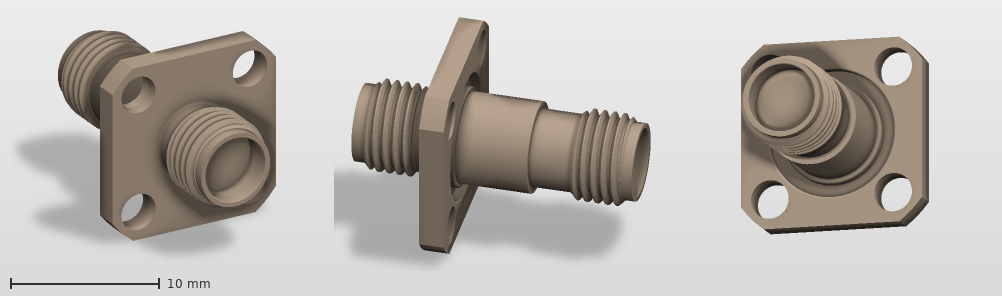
import cadquery as cq
import math


total_length = 19.43
barrel_start = 7.15
flange_start = 12.12
flange_thickness = 1.7
flange_end = flange_start + flange_thickness

tube_radius = 2.675
barrel_radius = 3.15
collar_fillet = 0.23

flange_width = 12.7
flange_corner_radius = 7.93
hole_diameter = 2.64
hole_spacing = 8.64

groove_inner_radius = 3.47
groove_outer_radius = 4.38
groove_depth = 0.74
groove_lip_fillet = 0.13

bore_radius = 2.31
bore_depth = 2.0
bore_chamfer = 0.05

thread_offset = 0.77
thread_length = 3.59
thread_pitch = 25.4 / 36
thread_crest_radius = 3.15
thread_root_radius = 2.735
thread_crest_flat = thread_pitch / 8
thread_first_crest = 1.447
flank_angle = math.radians(30)


def cylinder(start, end, radius):
    """Solid cylinder on the X axis between two positions."""
    return cq.Workplane("YZ").workplane(offset=start).circle(radius).extrude(end - start)


def make_flange():
    """Square plate with rounded-off corners and mounting holes through it."""
    plate = cq.Workplane("YZ").workplane(offset=flange_start).rect(flange_width, flange_width)
    plate = plate.extrude(flange_thickness)
    plate = plate.intersect(cylinder(flange_start, flange_end, flange_corner_radius))
    holes = (
        cq.Workplane("YZ")
        .workplane(offset=flange_start)
        .rect(hole_spacing, hole_spacing, forConstruction=True)
        .vertices()
        .circle(hole_diameter / 2)
        .extrude(flange_thickness)
    )
    return plate.cut(holes)


def arc_middle_offset(fillet):
    """Distance from each of the two walls joined by a quarter-round fillet to its middle point."""
    return fillet * (1 - math.sqrt(0.5))


def make_collar():
    """Concave fillet where the right tube leaves the flange."""
    arc_offset = arc_middle_offset(collar_fillet)
    return (
        cq.Workplane("XY")
        .moveTo(flange_end, 0)
        .lineTo(flange_end, tube_radius + collar_fillet)
        .threePointArc(
            (flange_end + arc_offset, tube_radius + arc_offset),
            (flange_end + collar_fillet, tube_radius),
        )
        .lineTo(flange_end + collar_fillet, 0)
        .close()
        .revolve(360, (0, 0, 0), (1, 0, 0))
    )


def make_ring_groove():
    """Ring-shaped cutter whose mouth flares out to leave rounded lips."""
    floor = flange_start + groove_depth
    wall_start = flange_start + groove_lip_fillet
    arc_offset = arc_middle_offset(groove_lip_fillet)
    return (
        cq.Workplane("XY")
        .moveTo(flange_start, groove_inner_radius - groove_lip_fillet)
        .threePointArc(
            (flange_start + arc_offset, groove_inner_radius - arc_offset),
            (wall_start, groove_inner_radius),
        )
        .lineTo(floor, groove_inner_radius)
        .lineTo(floor, groove_outer_radius)
        .lineTo(wall_start, groove_outer_radius)
        .threePointArc(
            (flange_start + arc_offset, groove_outer_radius + arc_offset),
            (flange_start, groove_outer_radius + groove_lip_fillet),
        )
        .close()
        .revolve(360, (0, 0, 0), (1, 0, 0))
    )


def make_thread():
    """Threaded sleeve of the left end: a helical ridge on a core, with 45 degree chamfered ends."""
    root_overlap = 0.02
    turns_before = 2
    turns = 8
    ridge_start = thread_first_crest - turns_before * thread_pitch
    ridge_base_radius = thread_root_radius - root_overlap
    half_crest = thread_crest_flat / 2
    half_base = half_crest + (thread_crest_radius - ridge_base_radius) * math.tan(flank_angle)

    ridge_profile = (
        cq.Workplane("XZ")
        .moveTo(ridge_base_radius, -half_base)
        .lineTo(thread_crest_radius, -half_crest)
        .lineTo(thread_crest_radius, half_crest)
        .lineTo(ridge_base_radius, half_base)
        .close()
    )
    helix = cq.Wire.makeHelix(thread_pitch, turns * thread_pitch, thread_root_radius)
    ridge = ridge_profile.sweep(cq.Workplane("XY").newObject([helix]), isFrenet=True)

    sleeve_base = cq.Workplane("XY").workplane(offset=thread_offset - ridge_start)
    envelope = sleeve_base.circle(thread_crest_radius).extrude(thread_length)
    envelope = envelope.edges().chamfer(thread_crest_radius - thread_root_radius)
    core = sleeve_base.circle(thread_root_radius).extrude(thread_length)
    sleeve = core.union(envelope.intersect(ridge))

    sleeve = sleeve.rotate((0, 0, 0), (0, 1, 0), 90).rotate((0, 0, 0), (1, 0, 0), 180)
    return sleeve.translate((ridge_start, 0, 0))


def make_end_bore():
    """Cutter for the left-end bore with its chamfered mouth."""
    bore = cylinder(0, bore_depth, bore_radius)
    mouth = cq.Workplane("YZ").circle(bore_radius + bore_chamfer).extrude(bore_chamfer, taper=45)
    return bore.union(mouth)


def on_both_ends(feature):
    """The left-end feature and its copy turned half round onto the right end."""
    middle = total_length / 2
    return [feature, feature.rotate((middle, 0, 0), (middle, 0, 1), 180)]


result = cylinder(0, total_length, tube_radius)
result = result.union(cylinder(barrel_start, flange_end, barrel_radius))
result = result.union(make_flange())
result = result.union(make_collar())
result = result.cut(make_ring_groove())

for thread in on_both_ends(make_thread()):
    result = result.union(thread)

for bore in on_both_ends(make_end_bore()):
    result = result.cut(bore)